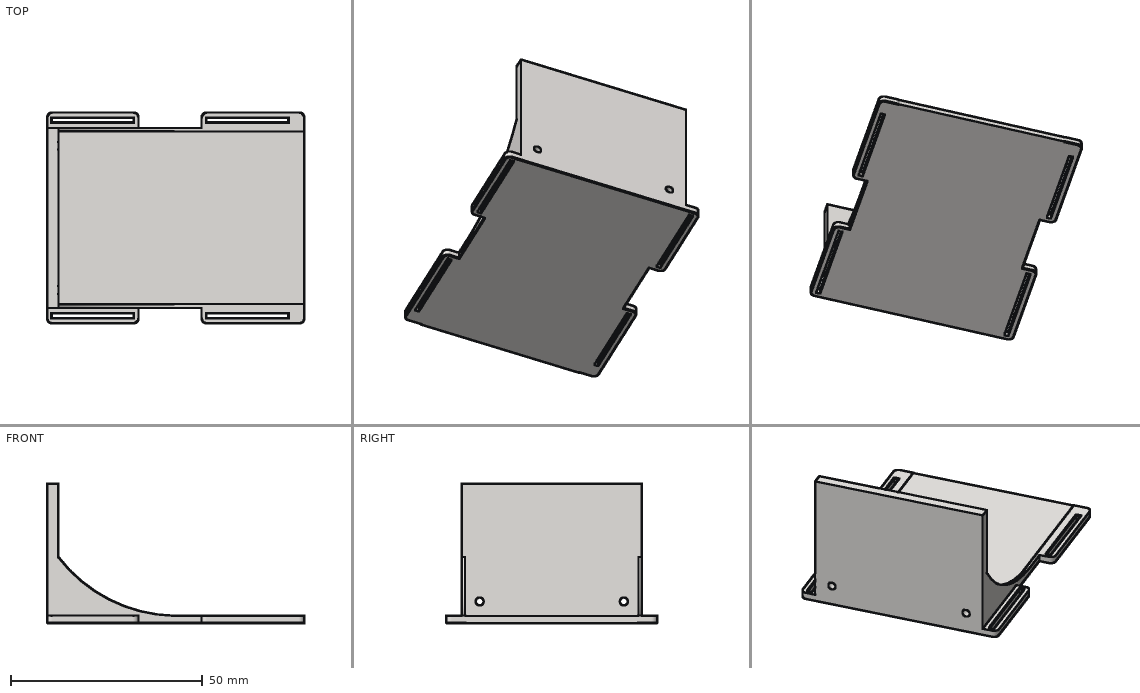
import cadquery as cq

length = 67.35
body_width = 47.15
plate_thickness = 2
bottom_chamfer = 0.2

panel_width = 45.1
panel_recess = 0.1

overall_width = 55.2
front_tab_length = 24.0
rear_tab_length = 26.95
tab_corner_radius = 1.4

slot_length = 21.3
slot_width = 1.1
slot_rim_chamfer = 0.2
slot_edge_offset = 2
front_slot_start = 1.3
rear_slot_start = 41.75

overall_height = 36.6
wall_thickness = 2.95
hole_diameter = 2
hole_spacing = 37.7
hole_height = 5.7

rib_thickness = 0.9
rib_top = 17.4
rib_end = 33.1
rib_arc_radius = 39.0


def box(x_start, x_end, width, z_start, z_end):
    """Block centred on the XZ plane."""
    block = cq.Workplane("XY").box(x_end - x_start, width, z_end - z_start, centered=(False, True, False))
    return block.translate((x_start, 0, z_start))


def tab_pair(x_start, tab_length):
    """Full-width strip whose ends form a tab on each side of the body."""
    strip = box(x_start, x_start + tab_length, overall_width, 0, plate_thickness)
    return strip.edges("|Z").fillet(tab_corner_radius)


def base_plate():
    """Plate with tabs, chamfered underneath and carrying the recessed central panel."""
    plate = box(0, length, body_width, 0, plate_thickness)
    plate = plate.union(tab_pair(0, front_tab_length))
    plate = plate.union(tab_pair(length - rear_tab_length, rear_tab_length))
    plate = plate.faces("<Z").chamfer(bottom_chamfer)
    panel_top = plate_thickness - panel_recess
    panel = box(wall_thickness, length, panel_width, 0, panel_top)
    recess = box(wall_thickness, length, panel_width, panel_top, plate_thickness)
    return plate.union(panel).cut(recess)


def slot_cutter(x_start, y_centre):
    """Straight slot that flares outward at the plate's upper face."""
    centre = (x_start + slot_length / 2, y_centre)
    slot = cq.Workplane("XY").center(*centre).rect(slot_length, slot_width).extrude(plate_thickness)
    rim_length = slot_length + 2 * slot_rim_chamfer
    rim_width = slot_width + 2 * slot_rim_chamfer
    flare = (
        cq.Workplane("XY", origin=(*centre, plate_thickness - slot_rim_chamfer))
        .rect(slot_length, slot_width)
        .workplane(offset=slot_rim_chamfer)
        .rect(rim_length, rim_width)
        .loft(ruled=True)
    )
    return slot.union(flare)


def upright_wall():
    wall = box(0, wall_thickness, body_width, plate_thickness, overall_height)
    holes = (
        cq.Workplane("YZ")
        .pushPoints([(side * hole_spacing / 2, hole_height) for side in (-1, 1)])
        .circle(hole_diameter / 2)
        .extrude(wall_thickness)
    )
    return wall.cut(holes)


def rib(y_start):
    """Rib whose concave arc runs from the wall down to the plate."""
    profile = (
        cq.Workplane("XZ", origin=(0, y_start + rib_thickness, 0))
        .moveTo(wall_thickness, bottom_chamfer)
        .lineTo(wall_thickness, rib_top)
        .radiusArc((rib_end, plate_thickness), -rib_arc_radius)
        .lineTo(rib_end, bottom_chamfer)
        .close()
    )
    return profile.extrude(rib_thickness)


result = base_plate().union(upright_wall())
for rib_start in (-body_width / 2, body_width / 2 - rib_thickness):
    result = result.union(rib(rib_start))
for side in (-1, 1):
    slot_y = side * (overall_width / 2 - slot_edge_offset)
    for slot_start in (front_slot_start, rear_slot_start):
        result = result.cut(slot_cutter(slot_start, slot_y))